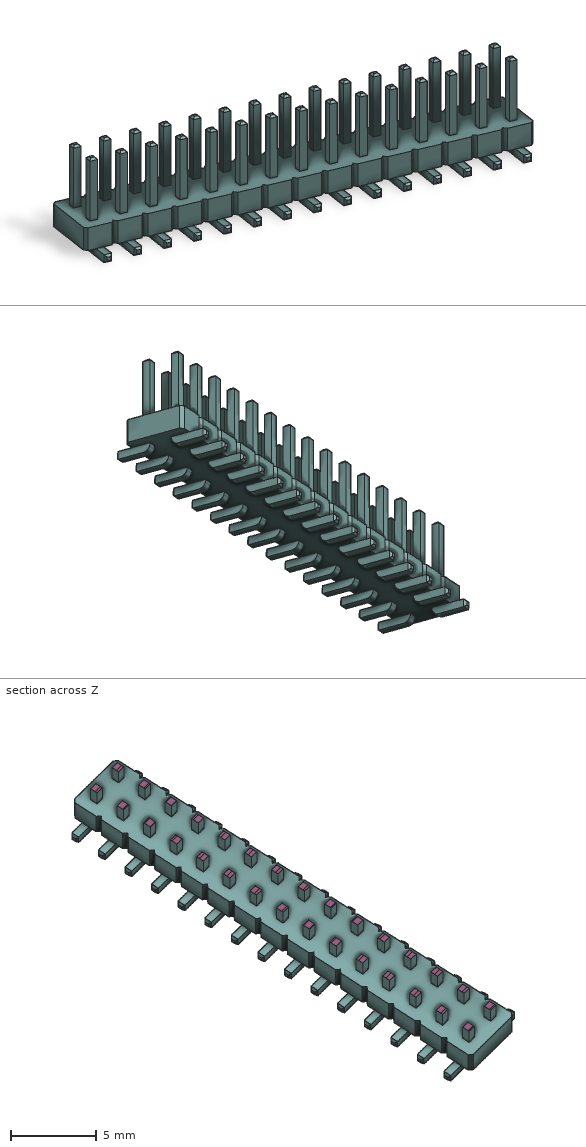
import cadquery as cq


length = 30.0
width = 6.2
height = 6.0
position_count = 15

pin_size = 0.5
tip_taper = 0.135
bend_radius = 0.48

body_width = 4.02
body_bottom = pin_size
body_top = 1.98
corner_cut = 0.2

pitch = length / position_count
row_offset = pitch / 2


def make_block():
    """One body block; its cut corners form V notches between neighbours."""
    return (
        cq.Workplane("XY").workplane(offset=body_bottom)
        .rect(body_width, pitch)
        .extrude(body_top - body_bottom)
        .edges("|Z").chamfer(corner_cut)
    )


def make_pin():
    """Pin of the +X row at Y = 0: an upright post above a foot that points outward."""
    foot_start = row_offset - pin_size / 2
    foot_length = width / 2 - foot_start
    foot = (
        cq.Workplane("XY")
        .box(foot_length, pin_size, pin_size, centered=(False, True, False))
        .translate((foot_start, 0, 0))
        .faces(">X").chamfer(tip_taper)
        .edges("<X and <Z").fillet(bend_radius)
    )
    post = (
        cq.Workplane("XY").workplane(offset=body_bottom)
        .center(row_offset, 0)
        .rect(pin_size, pin_size)
        .extrude(height - body_bottom)
        .faces(">Z").chamfer(tip_taper)
    )
    return foot.union(post)


right_pin = make_pin()
left_pin = right_pin.mirror("YZ")
position = make_block().union(right_pin).union(left_pin)

first_y = (pitch - length) / 2
result = position.translate((0, first_y, 0))
for index in range(1, position_count):
    result = result.union(position.translate((0, first_y + index * pitch, 0)))